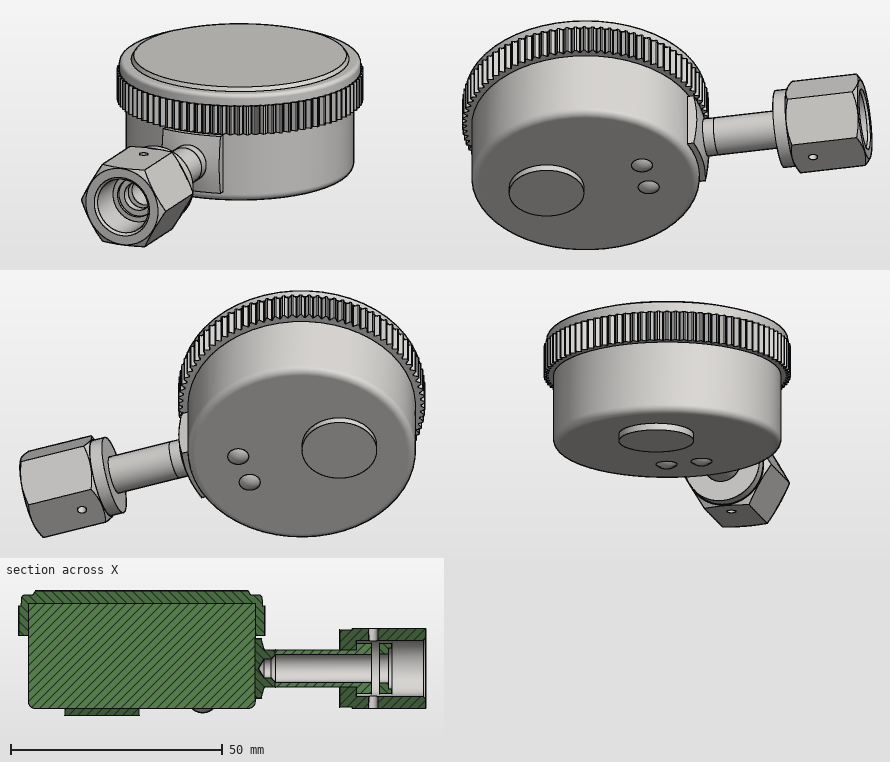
import cadquery as cq
import math


OVERALL_LENGTH = 96.38
OVERALL_HEIGHT = 29.59

CASE_RADIUS = 26.95
CASE_BOTTOM = -9.5
CASE_TOP = 15.5
CASE_EDGE_FILLET = 1.7

COVER_TOP = 18.45
CENTRE_RADIUS = 25.8
CENTRE_CHAMFER = 0.6
RIM_RADIUS = 28.6
RIM_TOP = 17.5
RIM_FILLET = 1.0
KNURL_BOTTOM = 7.8
KNURL_TOP = 14.8
KNURL_ROOT_RADIUS = 28.2
TOOTH_COUNT = 90
TOOTH_TIP_RADIUS = 29.15
TOOTH_TIP_WIDTH = 0.4
TOOTH_ROOT_WIDTH = 1.75
TOOTH_EMBED = 0.3

PLUG_RADIUS = 8.85
PLUG_Y = 9.4
PLUG_BOTTOM = COVER_TOP - OVERALL_HEIGHT

SCREW_X = 4.3
SCREW_Y = -14.4
SCREW_HEAD_RADIUS = 2.5
SCREW_HEAD_HEIGHT = 1.0

BLOCK_WIDTH = 14.9
BLOCK_HEIGHT = 14.1
BLOCK_CONE_ANGLE = 15.0
STUB_RADIUS = 4.45
STUB_START = 29.0
STUB_END = 31.6
BLIND_BORE_RADIUS = 2.2
BLIND_BORE_DEPTH = 4.0
DRILL_POINT_ANGLE = 59.0

TUBE_BORE_RADIUS = 3.25
GLAND_HEAD_RADIUS = 6.0
GLAND_FACE = 54.4

GASKET_START = 56.2
GASKET_END = 59.2
GASKET_OUTER_RADIUS = 6.0
GASKET_RIM_INNER_RADIUS = 4.8
GASKET_HOLE_RADIUS = 3.4
GASKET_RECESS = 0.8

COLLAR_RADIUS = 9.2
NUT_START = 46.8
HEX_START = 49.8
NUT_END = OVERALL_LENGTH - TOOTH_TIP_RADIUS
HEX_ACROSS_FLATS = 19.05
HEX_CHAMFER_RADIUS = 9.4
HEX_CHAMFER_ANGLE = 30.0
SHOULDER = 50.8
NUT_BORE_RADIUS = 6.6
MOUTH_RADIUS = 7.2
VENT_RADIUS = 1.05
VENT_DISTANCE = 54.8


def tangent(degrees):
    return math.tan(math.radians(degrees))


def turn_vertical(points):
    """Revolve a (radius, Z) outline about the Z axis."""
    return cq.Workplane("XZ").polyline(points).close().revolve(360, (0, 0, 0), (0, 1, 0))


def turn_connection(points):
    """Revolve a (radius, distance toward -Y) outline about the connection axis."""
    outline = [(radius, -distance) for radius, distance in points]
    return cq.Workplane("XY").polyline(outline).close().revolve(360, (0, 0, 0), (0, 1, 0))


def make_case():
    return (
        cq.Workplane("XY", origin=(0, 0, CASE_BOTTOM))
        .circle(CASE_RADIUS)
        .extrude(CASE_TOP - CASE_BOTTOM)
        .faces("<Z")
        .edges()
        .fillet(CASE_EDGE_FILLET)
    )


def make_cover():
    """Twist-on window: a raised centre on a round rim above a knurled skirt that fits over the case."""
    cover = turn_vertical([
        (0, CASE_TOP),
        (CASE_RADIUS, CASE_TOP),
        (CASE_RADIUS, KNURL_BOTTOM),
        (KNURL_ROOT_RADIUS, KNURL_BOTTOM),
        (KNURL_ROOT_RADIUS, KNURL_TOP),
        (RIM_RADIUS, KNURL_TOP),
        (RIM_RADIUS, RIM_TOP),
        (0, RIM_TOP),
    ])
    cover = cover.faces(">Z").edges().fillet(RIM_FILLET)
    raised_centre = turn_vertical([
        (0, CASE_TOP),
        (CENTRE_RADIUS, CASE_TOP),
        (CENTRE_RADIUS, RIM_TOP),
        (CENTRE_RADIUS - CENTRE_CHAMFER, COVER_TOP),
        (0, COVER_TOP),
    ])
    inner_radius = KNURL_ROOT_RADIUS - TOOTH_EMBED
    tooth_outline = [
        (inner_radius, -TOOTH_ROOT_WIDTH / 2),
        (KNURL_ROOT_RADIUS, -TOOTH_ROOT_WIDTH / 2),
        (TOOTH_TIP_RADIUS, -TOOTH_TIP_WIDTH / 2),
        (TOOTH_TIP_RADIUS, TOOTH_TIP_WIDTH / 2),
        (KNURL_ROOT_RADIUS, TOOTH_ROOT_WIDTH / 2),
        (inner_radius, TOOTH_ROOT_WIDTH / 2),
    ]
    tooth = (
        cq.Workplane("XY", origin=(0, 0, KNURL_BOTTOM))
        .polyline(tooth_outline)
        .close()
        .extrude(KNURL_TOP - KNURL_BOTTOM)
        .val()
    )
    pitch = 360 / TOOTH_COUNT
    teeth = [tooth.rotate((0, 0, 0), (0, 0, 1), -90 + pitch * index) for index in range(TOOTH_COUNT)]
    return cq.Workplane(cover.val().fuse(raised_centre.val(), *teeth))


def make_plug():
    return (
        cq.Workplane("XY", origin=(0, PLUG_Y, PLUG_BOTTOM))
        .circle(PLUG_RADIUS)
        .extrude(CASE_BOTTOM - PLUG_BOTTOM)
    )


def make_screw(x):
    """Spherical-cap head with its flat side on the bottom of the case."""
    dome_radius = (SCREW_HEAD_RADIUS**2 + SCREW_HEAD_HEIGHT**2) / (2 * SCREW_HEAD_HEIGHT)
    head = (
        cq.Workplane("XZ")
        .moveTo(0, 0)
        .lineTo(0, -SCREW_HEAD_HEIGHT)
        .radiusArc((SCREW_HEAD_RADIUS, 0), -dome_radius)
        .close()
        .revolve(360, (0, 0, 0), (0, 1, 0))
    )
    return head.translate((x, SCREW_Y, CASE_BOTTOM))


def make_socket(case):
    block = cq.Workplane("XY").box(BLOCK_WIDTH, STUB_START, BLOCK_HEIGHT).translate((0, -STUB_START / 2, 0))
    corner_radius = math.hypot(BLOCK_WIDTH, BLOCK_HEIGHT) / 2
    cone_drop = (corner_radius - STUB_RADIUS) * tangent(BLOCK_CONE_ANGLE)
    cone_envelope = turn_connection([
        (0, 0),
        (corner_radius, 0),
        (corner_radius, STUB_START - cone_drop),
        (STUB_RADIUS, STUB_START),
        (STUB_RADIUS, STUB_END),
        (0, STUB_END),
    ])
    stub = cq.Workplane("XZ", origin=(0, -CASE_RADIUS, 0)).circle(STUB_RADIUS).extrude(STUB_END - CASE_RADIUS)
    countersink_depth = TUBE_BORE_RADIUS - BLIND_BORE_RADIUS
    bore_bottom = STUB_END - BLIND_BORE_DEPTH
    bore = turn_connection([
        (0, STUB_END),
        (TUBE_BORE_RADIUS, STUB_END),
        (BLIND_BORE_RADIUS, STUB_END - countersink_depth),
        (BLIND_BORE_RADIUS, bore_bottom + BLIND_BORE_RADIUS / tangent(DRILL_POINT_ANGLE)),
        (0, bore_bottom),
    ])
    return block.intersect(cone_envelope).cut(case).union(stub).cut(case).cut(bore)


def make_gland():
    return turn_connection([
        (TUBE_BORE_RADIUS, STUB_END),
        (STUB_RADIUS, STUB_END),
        (STUB_RADIUS, SHOULDER),
        (GLAND_HEAD_RADIUS, SHOULDER),
        (GLAND_HEAD_RADIUS, GLAND_FACE),
        (TUBE_BORE_RADIUS, GLAND_FACE),
    ])


def make_gasket():
    """Loose sealing ring ahead of the gland, with its front recessed inside a raised rim."""
    return turn_connection([
        (GASKET_HOLE_RADIUS, GASKET_START),
        (GASKET_OUTER_RADIUS, GASKET_START),
        (GASKET_OUTER_RADIUS, GASKET_END),
        (GASKET_RIM_INNER_RADIUS, GASKET_END),
        (GASKET_RIM_INNER_RADIUS, GASKET_END - GASKET_RECESS),
        (GASKET_HOLE_RADIUS, GASKET_END - GASKET_RECESS),
    ])


def make_nut():
    corner_radius = HEX_ACROSS_FLATS / math.sqrt(3)
    chamfer_length = (corner_radius - HEX_CHAMFER_RADIUS) * tangent(HEX_CHAMFER_ANGLE)
    hexagon = (
        cq.Workplane("XZ", origin=(0, -HEX_START, 0))
        .polygon(6, 2 * corner_radius)
        .extrude(NUT_END - HEX_START)
    )
    chamfer_envelope = turn_connection([
        (0, HEX_START),
        (HEX_CHAMFER_RADIUS, HEX_START),
        (corner_radius, HEX_START + chamfer_length),
        (corner_radius, NUT_END - chamfer_length),
        (HEX_CHAMFER_RADIUS, NUT_END),
        (0, NUT_END),
    ])
    collar = cq.Workplane("XZ", origin=(0, -NUT_START, 0)).circle(COLLAR_RADIUS).extrude(HEX_START - NUT_START)
    mouth_depth = MOUTH_RADIUS - NUT_BORE_RADIUS
    bore = turn_connection([
        (0, NUT_START),
        (STUB_RADIUS, NUT_START),
        (STUB_RADIUS, SHOULDER),
        (NUT_BORE_RADIUS, SHOULDER),
        (NUT_BORE_RADIUS, NUT_END - mouth_depth),
        (MOUTH_RADIUS, NUT_END),
        (0, NUT_END),
    ])
    vent = (
        cq.Workplane("XY", origin=(0, -VENT_DISTANCE, 0)).circle(VENT_RADIUS).extrude(HEX_ACROSS_FLATS, both=True)
    )
    return hexagon.intersect(chamfer_envelope).union(collar).cut(bore).cut(vent)


case = make_case()
cover = make_cover()
plug = make_plug()
screws = [make_screw(x) for x in (-SCREW_X, SCREW_X)]
socket = make_socket(case)
gland = make_gland()
gasket = make_gasket()
nut = make_nut()

result = cq.Compound.makeCompound([
    case.val(),
    cover.val(),
    plug.val(),
    *[screw.val() for screw in screws],
    socket.val(),
    gland.val(),
    gasket.val(),
    nut.val(),
])